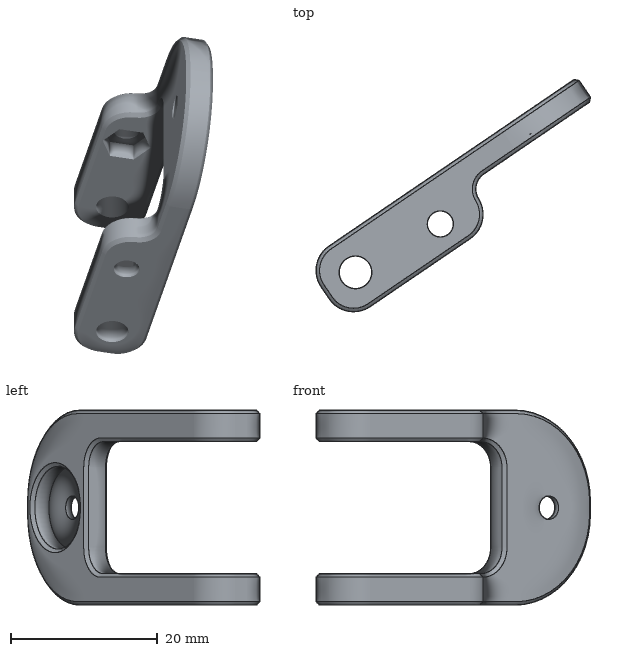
import cadquery as cq
import math

TURN_ANGLE = 34.2

HEIGHT = 26.6
ARM_WIDTH = 10.0
ARM_THICKNESS = 4.3
PLATE_THICKNESS = 3.75
PLATE_END_X = 39.9
PLATE_END_RADIUS = 12.5
EDGE_CHAMFER = 0.5

ARM_CORNER_RADIUS = 4.0
SHOULDER_CENTER_X = 15.52
NECK_RADIUS = 2.5

GAP_END_X = 25.32
GAP_CORNER_RADIUS = 3.5

PIVOT_DIAMETER = 4.4
BOLT_DIAMETER = 3.5
BOLT_X = 13.28
BOLT_Y = -1.05
NUT_CORNER_DIAMETER = 6.65
NUT_DEPTH = 2.5
PLATE_HOLE_X = 32.72
PLATE_HOLE_DIAMETER = 3.18
RECESS_DIAMETER = 11.3
RECESS_DEPTH = 2.8

BACK_Y = ARM_WIDTH / 2
FRONT_Y = -ARM_WIDTH / 2
ARM_END_X = -ARM_WIDTH / 2
PLATE_FRONT_Y = BACK_Y - PLATE_THICKNESS
GAP_HEIGHT = HEIGHT - 2 * ARM_THICKNESS


def side_profile():
    """Extruded arm and plate outline, with an S-shaped step made of two tangent arcs."""
    r = ARM_CORNER_RADIUS
    shoulder_y = FRONT_Y + r
    neck_y = PLATE_FRONT_Y - NECK_RADIUS
    reach = r + NECK_RADIUS
    rise = neck_y - shoulder_y
    run = math.sqrt(reach**2 - rise**2)
    neck_x = SHOULDER_CENTER_X + run
    touch = (SHOULDER_CENTER_X + run * r / reach, shoulder_y + rise * r / reach)
    return (
        cq.Workplane("XY")
        .moveTo(ARM_END_X + r, FRONT_Y)
        .lineTo(SHOULDER_CENTER_X, FRONT_Y)
        .tangentArcPoint(touch, relative=False)
        .tangentArcPoint((neck_x, PLATE_FRONT_Y), relative=False)
        .lineTo(PLATE_END_X, PLATE_FRONT_Y)
        .lineTo(PLATE_END_X, BACK_Y)
        .lineTo(ARM_END_X + r, BACK_Y)
        .tangentArcPoint((ARM_END_X, BACK_Y - r), relative=False)
        .lineTo(ARM_END_X, FRONT_Y + r)
        .tangentArcPoint((ARM_END_X + r, FRONT_Y), relative=False)
        .close()
        .extrude(HEIGHT / 2, both=True)
    )


def slab_across(start_x, end_x, height, corner_radius):
    """Block through the whole width, rounded at its two corners on the +X end."""
    return (
        cq.Workplane("XY")
        .box(end_x - start_x, 2 * ARM_WIDTH, height)
        .edges("|Y and >X")
        .fillet(corner_radius)
        .translate(((start_x + end_x) / 2, 0, 0))
    )


def edges_at(body, direction, start_x, end_x):
    """Edges parallel to a direction whose middles lie between two X positions."""
    region = cq.selectors.BoxSelector(
        (start_x, -ARM_WIDTH, -HEIGHT), (end_x, ARM_WIDTH, HEIGHT)
    )
    return body.edges(direction).edges(region)


def chamfer_rims(body):
    """Bevel every rim, leaving the smooth joints between tangent faces alone."""
    margin = EDGE_CHAMFER
    arm_tips = edges_at(body, "|Y", ARM_END_X - margin, ARM_END_X + margin)
    plate_ends = edges_at(body, "|Z", GAP_END_X - margin, PLATE_END_X + margin)
    rims = body.edges("not(|Y or |Z)").add(arm_tips).add(plate_ends)
    return rims.chamfer(EDGE_CHAMFER)


def cylinder_z(x, y, diameter):
    return cq.Workplane("XY").center(x, y).circle(diameter / 2).extrude(HEIGHT, both=True)


def nut_pockets():
    """Hexagonal pockets sunk into the inner faces of both arms, points across the arm."""
    return (
        cq.Workplane("XY")
        .center(BOLT_X, BOLT_Y)
        .transformed(rotate=(0, 0, 90))
        .polygon(6, NUT_CORNER_DIAMETER)
        .extrude(GAP_HEIGHT / 2 + NUT_DEPTH, both=True)
    )


def plate_bore(diameter, depth):
    """Cylinder sunk from the back face of the plate."""
    return (
        cq.Workplane("XZ", origin=(PLATE_HOLE_X, BACK_Y, 0)).circle(diameter / 2).extrude(depth)
    )


def plate_recess():
    """Round recess with a bevelled mouth."""
    mouth = cq.Workplane(
        cq.Solid.makeCone(
            RECESS_DIAMETER / 2 + EDGE_CHAMFER,
            RECESS_DIAMETER / 2,
            EDGE_CHAMFER,
            pnt=cq.Vector(PLATE_HOLE_X, BACK_Y, 0),
            dir=cq.Vector(0, -1, 0),
        )
    )
    return plate_bore(RECESS_DIAMETER, RECESS_DEPTH).union(mouth)


envelope = slab_across(2 * ARM_END_X, PLATE_END_X, HEIGHT, PLATE_END_RADIUS)
gap = slab_across(2 * ARM_END_X, GAP_END_X, GAP_HEIGHT, GAP_CORNER_RADIUS)
fork = chamfer_rims(side_profile().intersect(envelope).cut(gap))

fork = fork.cut(cylinder_z(0, 0, PIVOT_DIAMETER))
fork = fork.cut(cylinder_z(BOLT_X, BOLT_Y, BOLT_DIAMETER))
fork = fork.cut(nut_pockets())
fork = fork.cut(plate_recess())
fork = fork.cut(plate_bore(PLATE_HOLE_DIAMETER, PLATE_THICKNESS))

result = fork.rotate((0, 0, 0), (0, 0, 1), TURN_ANGLE)